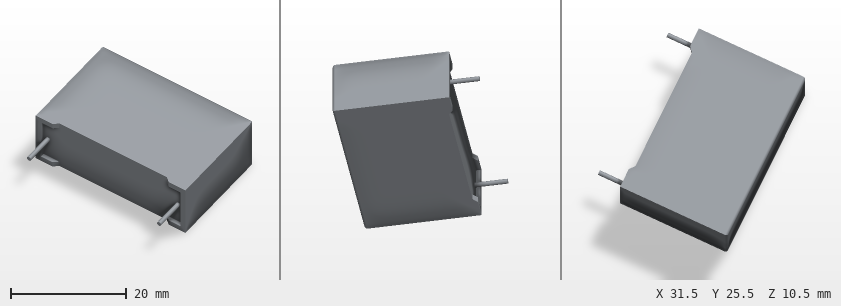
import cadquery as cq

case_width = 31.5
case_depth = 20.5
case_height = 10.52
overall_depth = 25.5
wall = 1.07
back_round = 0.5

relief_depth = 0.8
foot_tip_width = 3.53
foot_root_width = 4.45

lead_diameter = 0.85
lead_pitch = 27.4
lead_length = overall_depth - case_depth + relief_depth

cavity_width = case_width - 2 * wall
cavity_height = case_height - 2 * wall
filling_depth = case_depth - wall - relief_depth


def block(width, depth, height, front_y):
    """Box centred on X and Z, running toward +Y from front_y."""
    return cq.Workplane("XY").box(width, depth, height, centered=(True, False, True)).translate((0, front_y, 0))


def make_mouth_relief():
    """Trapezoidal cutter, wider at the mouth, through the full height."""
    half_mouth = case_width / 2 - foot_tip_width
    half_floor = case_width / 2 - foot_root_width
    outline = [(-half_mouth, 0), (half_mouth, 0), (half_floor, relief_depth), (-half_floor, relief_depth)]
    return cq.Workplane("XY").polyline(outline).close().extrude(case_height / 2, both=True)


def make_case():
    """Box open at the mouth, with rounded back edges."""
    shell = block(case_width, case_depth, case_height, 0).faces(">Y").edges().fillet(back_round)
    cavity = block(cavity_width, case_depth - wall, cavity_height, 0)
    return shell.cut(cavity).cut(make_mouth_relief())


def make_filling():
    """Solid filling of the case cavity."""
    return block(cavity_width, filling_depth, cavity_height, relief_depth)


def make_lead(x):
    """Round lead standing on the filling and pointing toward -Y."""
    return cq.Workplane("XZ", origin=(x, relief_depth, 0)).circle(lead_diameter / 2).extrude(lead_length)


case = make_case()
filling = make_filling()
leads = [make_lead(side * lead_pitch / 2) for side in (-1, 1)]

result = cq.Compound.makeCompound([case.val(), filling.val(), *[lead.val() for lead in leads]])